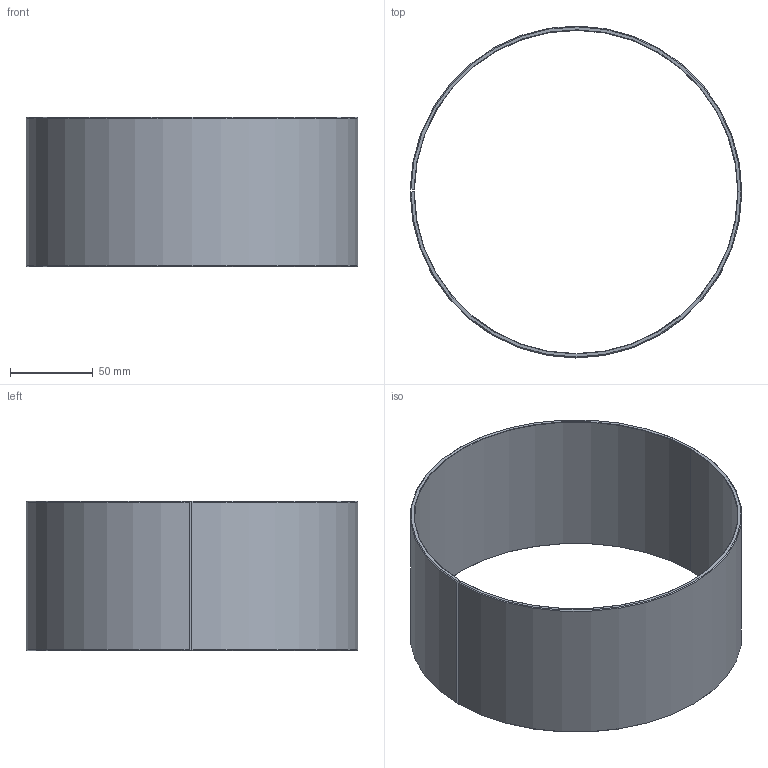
import cadquery as cq
import math

outer_diameter = 200.0
wall_thickness = 2.5
height = 90.0
outer_chamfer = 0.5
inner_chamfer = 0.2
slit_angle = 1.0

outer_radius = outer_diameter / 2
inner_radius = outer_radius - wall_thickness


def make_outer_body():
    """Solid cylinder standing on the XY plane, chamfered at both rims."""
    cylinder = cq.Workplane("XY").circle(outer_radius).extrude(height)
    return cylinder.faces("<Z or >Z").edges().chamfer(outer_chamfer)


def cut_bore(body):
    """Bore the body through along Z and chamfer both rims of the bore."""
    bore = cq.Workplane("XY").circle(inner_radius).extrude(height)
    sleeve = body.cut(bore)
    bore_rims = sleeve.faces("<Z or >Z").edges(cq.selectors.RadiusNthSelector(0))
    return bore_rims.chamfer(inner_chamfer)


def make_slit():
    """Full-height wedge from the Z axis, opening from the -X direction toward +Y."""
    reach = outer_diameter
    angle = math.radians(slit_angle)
    far_corner = (-reach * math.cos(angle), reach * math.sin(angle))
    return (
        cq.Workplane("XY")
        .polyline([(0, 0), (-reach, 0), far_corner])
        .close()
        .extrude(height)
    )


result = cut_bore(make_outer_body()).cut(make_slit())